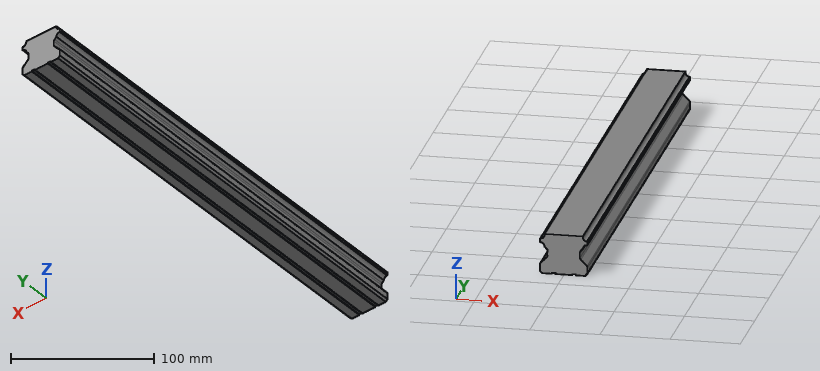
import cadquery as cq
import math

length = 360.0
width = 34.0
height = 29.0

raceway_radius = 3.0
shoulder_height = 0.7
land_height = 2.0
lip_chamfer = 0.5

waist_width = 23.0
waist_height = 5.0
waist_radius = 1.8
foot_radius = 1.5
foot_chamfer = 1.62

groove_spacing = 14.5
groove_width = 2.5
groove_depth = 0.7

half_width = width / 2
half_waist = waist_width / 2
raceway_center_x = half_width - lip_chamfer
raceway_edge = raceway_center_x - raceway_radius

upper_center_z = height - shoulder_height
upper_lip_z = upper_center_z - raceway_radius
land_top_z = upper_lip_z - lip_chamfer
land_bottom_z = land_top_z - land_height
lower_lip_z = land_bottom_z - lip_chamfer
lower_center_z = lower_lip_z - raceway_radius
waist_top_z = lower_center_z - (raceway_edge - half_waist)
waist_bottom_z = waist_top_z - waist_height
foot_top_z = waist_bottom_z - (half_width - half_waist)

arc_offset = raceway_radius * math.sqrt(0.5)
arc_middle_x = raceway_center_x - arc_offset


def long_edge_at(x, z):
    """Select the edge that runs along Y through the given place in the section."""
    reach = foot_radius / 4
    return cq.selectors.BoxSelector(
        (x - reach, -length, z - reach),
        (x + reach, length, z + reach),
    )


def rail_body():
    """Extrude one half of the section, round its corners and mirror it about the YZ plane."""
    half_rail = (
        cq.Workplane("XZ", origin=(0, length / 2, 0))
        .moveTo(0, height)
        .lineTo(raceway_edge, height)
        .lineTo(raceway_edge, upper_center_z)
        .threePointArc((arc_middle_x, upper_center_z - arc_offset), (raceway_center_x, upper_lip_z))
        .lineTo(half_width, land_top_z)
        .lineTo(half_width, land_bottom_z)
        .lineTo(raceway_center_x, lower_lip_z)
        .threePointArc((arc_middle_x, lower_center_z + arc_offset), (raceway_edge, lower_center_z))
        .lineTo(half_waist, waist_top_z)
        .lineTo(half_waist, waist_bottom_z)
        .lineTo(half_width, foot_top_z)
        .lineTo(half_width, foot_chamfer)
        .lineTo(half_width - foot_chamfer, 0)
        .lineTo(0, 0)
        .close()
        .extrude(length)
    )
    rounded_corners = [
        (half_waist, waist_top_z, waist_radius),
        (half_waist, waist_bottom_z, waist_radius),
        (half_width, foot_top_z, foot_radius),
    ]
    for x, z, radius in rounded_corners:
        half_rail = half_rail.edges("|Y").edges(long_edge_at(x, z)).fillet(radius)
    return half_rail.union(half_rail.mirror("YZ"))


def underside_grooves():
    """Two rectangular cutters running the full length of the underside."""
    return (
        cq.Workplane("XY")
        .pushPoints([(-groove_spacing / 2, 0), (groove_spacing / 2, 0)])
        .rect(groove_width, length)
        .extrude(groove_depth)
    )


result = rail_body().cut(underside_grooves()).clean()